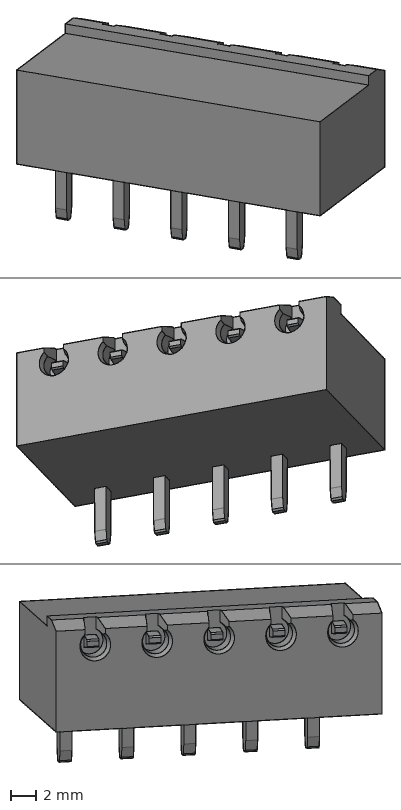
import cadquery as cq

length = 26.7
depth = 12.0
body_height = 8.0
ridge_rise = 0.8
ridge_depth = 3.0
bevel_depth = ridge_depth / 2
bevel_drop = 0.6
top_z = body_height + ridge_rise
back_edge_z = top_z - bevel_drop

contact_count = 5
pitch = 5.07
first_contact_x = (length - pitch * (contact_count - 1)) / 2

opening_depth = 1.75
slot_mouth_width = 1.65
slot_end_width = 1.05
hole_z = back_edge_z - 1.34
hole_radius = 1.07
flare_radius = 1.25
flare_depth = 0.5

pin_size = 1.0
leg_y = 1.95
leg_length = 4.78
tip_recess = 0.67
tip_length = 1.0
nose_length = 0.15
nose_base_width = 0.67
nose_end_width = 0.43


def make_housing():
    ridge_front_y = depth - ridge_depth
    profile = [
        (0, 0),
        (depth, 0),
        (depth, back_edge_z),
        (depth - bevel_depth, top_z),
        (ridge_front_y, top_z),
        (ridge_front_y, body_height),
        (0, body_height),
    ]
    return cq.Workplane("YZ").polyline(profile).close().extrude(length)


def make_opening(x):
    """Round hole, conical flare and open-topped slot, all entering from the back face."""
    back_face = cq.Workplane("XZ", origin=(x, depth, hole_z))
    hole = back_face.circle(hole_radius).extrude(opening_depth)
    flare = back_face.circle(flare_radius).workplane(offset=flare_depth).circle(hole_radius).loft()
    slot_end_y = depth - opening_depth
    slot_outline = [
        (x - slot_mouth_width / 2, depth),
        (x + slot_mouth_width / 2, depth),
        (x + slot_end_width / 2, slot_end_y),
        (x - slot_end_width / 2, slot_end_y),
    ]
    slot = cq.Workplane("XY", origin=(0, 0, hole_z)).polyline(slot_outline).close().extrude(top_z - hole_z)
    return hole.union(flare).union(slot)


def make_leg(leg_span):
    """Pin along +Z from the origin, its tip narrowing in Y only, in two steps."""
    shank_end = leg_span - tip_length
    nose_start = leg_span - nose_length
    right_side = [
        (pin_size / 2, 0),
        (pin_size / 2, shank_end),
        (nose_base_width / 2, nose_start),
        (nose_end_width / 2, leg_span),
    ]
    left_side = [(-y, z) for y, z in reversed(right_side)]
    return cq.Workplane("YZ").polyline(right_side + left_side).close().extrude(pin_size / 2, both=True)


def make_contact(x):
    """Both legs start at the bend inside the housing."""
    bend = (x, leg_y, hole_z)
    down_leg = make_leg(hole_z + leg_length).rotate((0, 0, 0), (1, 0, 0), 180)
    back_leg = make_leg(depth - tip_recess - leg_y).rotate((0, 0, 0), (1, 0, 0), -90)
    return down_leg.union(back_leg).translate(bend)


result = make_housing()
for index in range(contact_count):
    contact_x = first_contact_x + index * pitch
    result = result.cut(make_opening(contact_x))
    result = result.union(make_contact(contact_x))